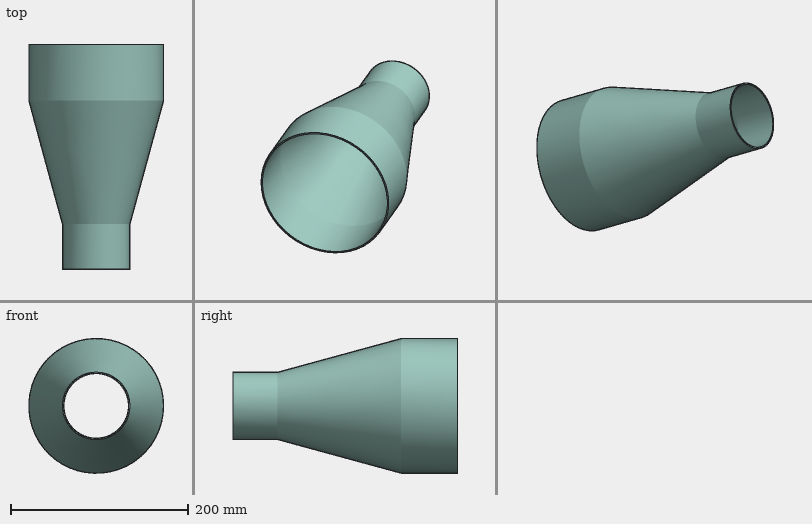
import cadquery as cq

large_diameter = 152.4
small_diameter = large_diameter / 2
wall = 1.65
total_length = 254.0
large_collar_length = 63.5
small_collar_length = 50.8

cone_end = total_length - large_collar_length


def reducer_body(offset):
    """Solid of revolution whose collars and cone ends sit `offset` inside the outer radii."""
    small_radius = small_diameter / 2 - offset
    large_radius = large_diameter / 2 - offset
    return (
        cq.Workplane("XY")
        .moveTo(0, 0)
        .lineTo(small_radius, 0)
        .lineTo(small_radius, small_collar_length)
        .lineTo(large_radius, cone_end)
        .lineTo(large_radius, total_length)
        .lineTo(0, total_length)
        .close()
        .revolve(360, (0, 0, 0), (0, 1, 0))
    )


result = reducer_body(0).cut(reducer_body(wall))